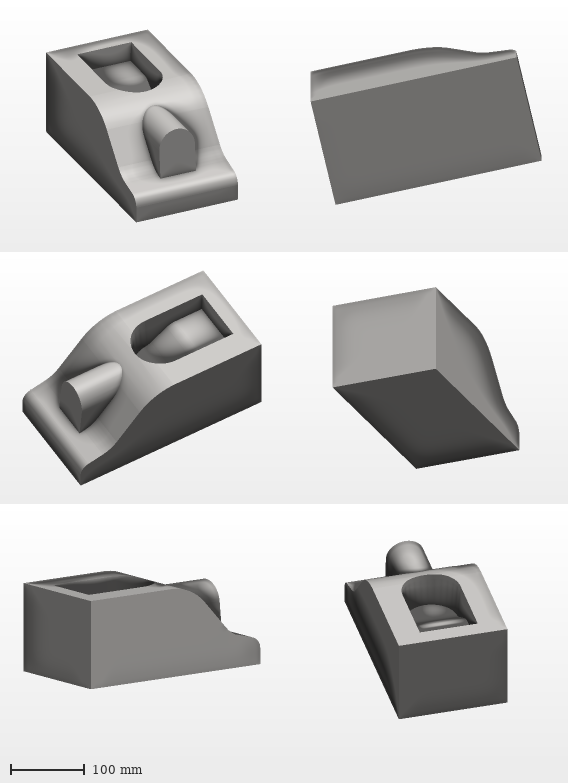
import cadquery as cq
import math

length = 286.25
width = 152.4
height = 121.97

crest_x = 138.75
crest_tilt = 2.0
crest_radius = 76.5
slope_tilt = 47.6
slope_length = 54.3
valley_radius = 44.0
apron_tilt = 13.8
nose_radius = 16.3
vertical_tilt = 90.0

pocket_back_x = 23.1
pocket_width = 81.28
pocket_bend_x = 114.0
pocket_draft = 5.0

shallow_depth = 27.0
ramp_start_x = 68.0
ramp_blend = 13.05
ramp_run = 26.1
ramp_tilt = 30.0

spout_width = 53.34
spout_axis_z = 83.0
spout_draft = 5.0
spout_toe_z = 42.9
spout_toe_x = 258.0
spout_root_x = 150.0
spout_base_z = 20.0


def arc_step(start, radius, tilt_in, tilt_out):
    """Midpoint and end of an arc turning from one downward tilt to another along +X."""
    sign = 1 if tilt_out > tilt_in else -1

    def point_at(tilt):
        turn_x = math.sin(math.radians(tilt)) - math.sin(math.radians(tilt_in))
        turn_z = math.cos(math.radians(tilt)) - math.cos(math.radians(tilt_in))
        return (start[0] + sign * radius * turn_x, start[1] + sign * radius * turn_z)

    return point_at((tilt_in + tilt_out) / 2), point_at(tilt_out)


def line_step(start, run, tilt):
    """End of a straight stretch that covers the given run along X."""
    return (start[0] + run, start[1] - run * math.tan(math.radians(tilt)))


def make_body():
    crest = (crest_x, height)
    crest_mid, slope_top = arc_step(crest, crest_radius, crest_tilt, slope_tilt)
    slope_run = slope_length * math.cos(math.radians(slope_tilt))
    slope_bottom = line_step(slope_top, slope_run, slope_tilt)
    valley_mid, apron_start = arc_step(slope_bottom, valley_radius, slope_tilt, apron_tilt)
    nose_run = nose_radius * (1 - math.sin(math.radians(apron_tilt)))
    apron_end = line_step(apron_start, length - nose_run - apron_start[0], apron_tilt)
    nose_mid, nose_end = arc_step(apron_end, nose_radius, apron_tilt, vertical_tilt)
    return (
        cq.Workplane("XZ")
        .moveTo(0, 0)
        .lineTo(0, height)
        .lineTo(*crest)
        .threePointArc(crest_mid, slope_top)
        .lineTo(*slope_bottom)
        .threePointArc(valley_mid, apron_start)
        .lineTo(*apron_end)
        .threePointArc(nose_mid, nose_end)
        .lineTo(length, 0)
        .close()
        .extrude(width / 2, both=True)
    )


def make_pocket():
    floor_start = (ramp_start_x, height - shallow_depth)
    blend_radius = ramp_blend / math.sin(math.radians(ramp_tilt))
    upper_mid, ramp_top = arc_step(floor_start, blend_radius, 0, ramp_tilt)
    ramp_bottom = line_step(ramp_top, ramp_run, ramp_tilt)
    lower_mid, deep_start = arc_step(ramp_bottom, blend_radius, ramp_tilt, 0)
    deep_z = deep_start[1]

    half_width = pocket_width / 2
    tapered_hole = (
        cq.Workplane("XY", origin=(0, 0, height))
        .moveTo(pocket_back_x, -half_width)
        .lineTo(pocket_bend_x, -half_width)
        .threePointArc((pocket_bend_x + half_width, 0), (pocket_bend_x, half_width))
        .lineTo(pocket_back_x, half_width)
        .close()
        .extrude(deep_z - height, taper=pocket_draft)
    )
    above_floor = (
        cq.Workplane("XZ")
        .moveTo(0, height)
        .lineTo(0, floor_start[1])
        .lineTo(*floor_start)
        .threePointArc(upper_mid, ramp_top)
        .lineTo(*ramp_bottom)
        .threePointArc(lower_mid, deep_start)
        .lineTo(length, deep_z)
        .lineTo(length, height)
        .close()
        .extrude(width / 2, both=True)
    )
    return tapered_hole.intersect(above_floor)


def make_spout():
    radius = spout_width / 2
    top_z = spout_axis_z + radius
    arched_bar = (
        cq.Workplane("YZ", origin=(spout_root_x, 0, 0))
        .moveTo(-radius, spout_base_z)
        .lineTo(-radius, spout_axis_z)
        .threePointArc((0, top_z), (radius, spout_axis_z))
        .lineTo(radius, spout_base_z)
        .close()
        .extrude(length - spout_root_x)
    )

    def end_face_x(z):
        return spout_toe_x - (z - spout_toe_z) * math.tan(math.radians(spout_draft))

    side_outline = (
        cq.Workplane("XZ")
        .moveTo(spout_root_x, spout_base_z)
        .lineTo(spout_root_x, top_z)
        .lineTo(end_face_x(top_z), top_z)
        .lineTo(end_face_x(spout_base_z), spout_base_z)
        .close()
        .extrude(width / 2, both=True)
    )
    return arched_bar.intersect(side_outline)


result = make_body().union(make_spout()).cut(make_pocket())